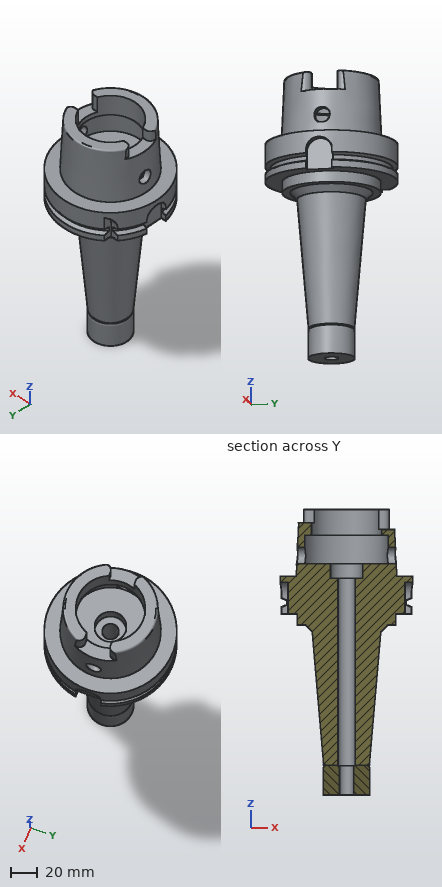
import cadquery as cq
import math

OVERALL_LENGTH = 215.0
SHANK_LENGTH = 50.0
NUT_BOTTOM_Z = SHANK_LENGTH - OVERALL_LENGTH
CUT_MARGIN = 4.3

SHANK_BASE_RADIUS = 38.0
SHANK_TOP_RADIUS = 35.7
RIM_FILLET = 1.5

FLANGE_DIAMETER = 100.0
FLANGE_RADIUS = FLANGE_DIAMETER / 2
FLANGE_THICKNESS = 28.5
GROOVE_RADIUS = 46.2
GROOVE_TOP_Z = -16.8
GROOVE_BOTTOM_Z = -23.2
GROOVE_WALL_HEIGHT = 1.5

COLLAR_RADIUS = 37.2
COLLAR_BOTTOM_Z = -37.0
SHOULDER_RADIUS = 31.2
NECK_TOP_RADIUS = 26.0
NECK_TOP_Z = -42.1
NECK_END_RADIUS = 17.5
NECK_END_GAP = 0.9
RELIEF_RADIUS = 16.1

NUT_RADIUS = 17.6
NUT_HEIGHT = 22.1
NUT_CHAMFER_HEIGHT = 2.0
NUT_CHAMFER_WIDTH = 0.5
NUT_BORE_RADIUS = 5.2
NUT_TOP_Z = NUT_BOTTOM_Z + NUT_HEIGHT

MOUTH_RADIUS = 26.2
MOUTH_DEPTH = 19.5
CHAMBER_RADIUS = 31.4
CHAMBER_FLOOR_Z = 9.2
COUNTERBORE_RADIUS = 12.0
COUNTERBORE_DEPTH = 10.8
HOLDER_BORE_RADIUS = 6.2

KEYWAY_HALF_WIDTH = 10.0
KEYWAY_CORNER_RADIUS = 4.5
KEYWAY_CORNER_REACH = 32.2
KEYWAY_FLAT_HALF_WIDTH = 19.4
LEFT_KEYWAY_DEPTH = 9.9
RIGHT_KEYWAY_DEPTH = 15.0

CROSS_HOLE_RADIUS = 6.0
CROSS_HOLE_Z = 15.3

SLOT_WIDTH = 20.0
SLOT_RADIUS = SLOT_WIDTH / 2
SLOT_ARC_Z = -14.8
SLOT_FLOOR_X = 44.0
NOTCH_CENTER_Y = 41.3
NOTCH_FLOOR_X = 32.0


def holder_blank():
    """Turned outside of the holder, from the shank rim down to the nut."""
    profile = [
        (0, SHANK_LENGTH),
        (SHANK_TOP_RADIUS, SHANK_LENGTH),
        (SHANK_BASE_RADIUS, 0),
        (FLANGE_RADIUS, 0),
        (FLANGE_RADIUS, GROOVE_TOP_Z),
        (GROOVE_RADIUS, GROOVE_TOP_Z - GROOVE_WALL_HEIGHT),
        (GROOVE_RADIUS, GROOVE_BOTTOM_Z + GROOVE_WALL_HEIGHT),
        (FLANGE_RADIUS, GROOVE_BOTTOM_Z),
        (FLANGE_RADIUS, -FLANGE_THICKNESS),
        (COLLAR_RADIUS, -FLANGE_THICKNESS),
        (COLLAR_RADIUS, COLLAR_BOTTOM_Z),
        (SHOULDER_RADIUS, COLLAR_BOTTOM_Z),
        (NECK_TOP_RADIUS, NECK_TOP_Z),
        (NECK_END_RADIUS, NUT_TOP_Z + NECK_END_GAP),
        (RELIEF_RADIUS, NUT_TOP_Z + NECK_END_GAP),
        (RELIEF_RADIUS, NUT_TOP_Z),
        (0, NUT_TOP_Z),
    ]
    blank = cq.Workplane("XZ").polyline(profile).close().revolve(360, (0, 0), (0, 1))
    return blank.faces(">Z").edges().fillet(RIM_FILLET)


def holder_bore():
    """Mouth, undercut chamber, counterbore and coolant bore as one turned cutter."""
    mouth_bottom_z = SHANK_LENGTH - MOUTH_DEPTH
    counterbore_floor_z = CHAMBER_FLOOR_Z - COUNTERBORE_DEPTH
    profile = [
        (0, SHANK_LENGTH),
        (MOUTH_RADIUS, SHANK_LENGTH),
        (MOUTH_RADIUS, mouth_bottom_z),
        (CHAMBER_RADIUS, mouth_bottom_z),
        (CHAMBER_RADIUS, CHAMBER_FLOOR_Z),
        (COUNTERBORE_RADIUS, CHAMBER_FLOOR_Z),
        (COUNTERBORE_RADIUS, counterbore_floor_z),
        (HOLDER_BORE_RADIUS, counterbore_floor_z),
        (HOLDER_BORE_RADIUS, NUT_TOP_Z),
        (0, NUT_TOP_Z),
    ]
    return cq.Workplane("XZ").polyline(profile).close().revolve(360, (0, 0), (0, 1))


def keyway(side, depth):
    """Rim keyway on the +X (side = 1) or -X (side = -1) wall, flaring round two corners into end flats."""
    corner_start_x = KEYWAY_CORNER_REACH - KEYWAY_CORNER_RADIUS
    corner_end_y = KEYWAY_HALF_WIDTH + KEYWAY_CORNER_RADIUS
    arc_offset = KEYWAY_CORNER_RADIUS * math.sqrt(0.5)
    arc_mid = (corner_start_x + arc_offset, corner_end_y - arc_offset)
    outer_x = SHANK_BASE_RADIUS + CUT_MARGIN
    outline = (
        cq.Workplane("XY", origin=(0, 0, SHANK_LENGTH - depth))
        .moveTo(0, -KEYWAY_HALF_WIDTH)
        .lineTo(side * corner_start_x, -KEYWAY_HALF_WIDTH)
        .threePointArc((side * arc_mid[0], -arc_mid[1]), (side * KEYWAY_CORNER_REACH, -corner_end_y))
        .lineTo(side * KEYWAY_CORNER_REACH, -KEYWAY_FLAT_HALF_WIDTH)
        .lineTo(side * outer_x, -KEYWAY_FLAT_HALF_WIDTH)
        .lineTo(side * outer_x, KEYWAY_FLAT_HALF_WIDTH)
        .lineTo(side * KEYWAY_CORNER_REACH, KEYWAY_FLAT_HALF_WIDTH)
        .lineTo(side * KEYWAY_CORNER_REACH, corner_end_y)
        .threePointArc((side * arc_mid[0], arc_mid[1]), (side * corner_start_x, KEYWAY_HALF_WIDTH))
        .lineTo(0, KEYWAY_HALF_WIDTH)
        .close()
    )
    return outline.extrude(depth + CUT_MARGIN)


def flange_slot(side, center_y, floor_x):
    """Round-topped slot with a flat floor, cut into the flange from the +X or -X side."""
    depth = FLANGE_RADIUS + CUT_MARGIN - floor_x
    return (
        cq.Workplane("YZ", origin=(side * floor_x, center_y, 0))
        .moveTo(-SLOT_RADIUS, -FLANGE_THICKNESS)
        .lineTo(SLOT_RADIUS, -FLANGE_THICKNESS)
        .lineTo(SLOT_RADIUS, SLOT_ARC_Z)
        .threePointArc((0, SLOT_ARC_Z + SLOT_RADIUS), (-SLOT_RADIUS, SLOT_ARC_Z))
        .close()
        .extrude(side * depth)
    )


def cross_hole():
    """Radial access hole passing through both walls of the shank."""
    return (
        cq.Workplane("YZ", origin=(0, 0, CROSS_HOLE_Z))
        .circle(CROSS_HOLE_RADIUS)
        .extrude(SHANK_BASE_RADIUS + CUT_MARGIN, both=True)
    )


def make_holder():
    body = holder_blank().cut(holder_bore()).cut(cross_hole())
    body = body.cut(keyway(-1, LEFT_KEYWAY_DEPTH)).cut(keyway(1, RIGHT_KEYWAY_DEPTH))
    for side in (-1, 1):
        body = body.cut(flange_slot(side, 0, SLOT_FLOOR_X))
    return body.cut(flange_slot(-1, NOTCH_CENTER_Y, NOTCH_FLOOR_X))


def make_nut():
    """Round nut against the end of the holder, with a steep chamfer on its upper edge."""
    profile = [
        (NUT_BORE_RADIUS, NUT_BOTTOM_Z),
        (NUT_RADIUS, NUT_BOTTOM_Z),
        (NUT_RADIUS, NUT_TOP_Z - NUT_CHAMFER_HEIGHT),
        (NUT_RADIUS - NUT_CHAMFER_WIDTH, NUT_TOP_Z),
        (NUT_BORE_RADIUS, NUT_TOP_Z),
    ]
    return cq.Workplane("XZ").polyline(profile).close().revolve(360, (0, 0), (0, 1))


holder = make_holder()
nut = make_nut()
result = cq.Compound.makeCompound([holder.val(), nut.val()])